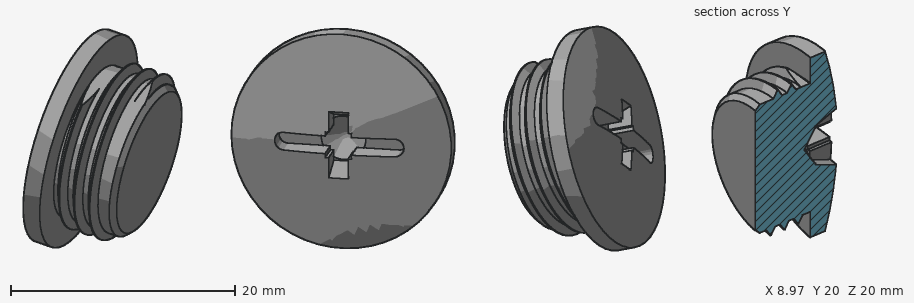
import cadquery as cq
import math


head_diameter = 20.03
rim_thickness = 1.65
dome_height = 1.35
apex_x = -(rim_thickness + dome_height)

shank_diameter = 14.33
shank_length = 6.0
end_chamfer = 0.5

thread_diameter = 15.87
pitch = 1.5
turns = 3
thread_start_x = 0.54
crest_width = 0.1
root_width = 0.98
root_overlap = 0.15
runout_length = 2.75

recess_depth = 2.4
floor_x = apex_x + recess_depth
straight_slot_length = 11.75
straight_slot_width = 1.65
cross_slot_width = 1.78
cross_slot_top_length = 6.3
cross_slot_floor_length = 4.3
square_side = 2.4
point_diameter = 4.06
point_angle = 118.0

head_radius = head_diameter / 2
shank_radius = shank_diameter / 2
thread_radius = thread_diameter / 2


def make_plug_blank():
    """Domed head and chamfered shank as one turned body."""
    dome_radius = (head_radius**2 + dome_height**2) / (2 * dome_height)
    mid_radius = head_radius / 2
    mid_x = apex_x + dome_radius - math.sqrt(dome_radius**2 - mid_radius**2)
    return (
        cq.Workplane("XY")
        .moveTo(apex_x, 0)
        .threePointArc((mid_x, mid_radius), (-rim_thickness, head_radius))
        .lineTo(0, head_radius)
        .lineTo(0, shank_radius)
        .lineTo(shank_length - end_chamfer, shank_radius)
        .lineTo(shank_length, shank_radius - end_chamfer)
        .lineTo(shank_length, 0)
        .close()
        .revolve(360, (0, 0, 0), (1, 0, 0))
    )


def make_runout_cutter(x_from, side):
    """Wedge that slopes the thread end down to the shank surface on the given Y side of the top."""
    full_depth_z = math.sqrt(thread_radius**2 - runout_length**2)
    clear_z = thread_radius + pitch
    return (
        cq.Workplane("YZ", origin=(x_from, 0, 0))
        .moveTo(0, shank_radius)
        .lineTo(side * runout_length, full_depth_z)
        .lineTo(side * runout_length, clear_z)
        .lineTo(0, clear_z)
        .close()
        .extrude(pitch)
    )


def make_thread():
    """Right-hand ridge that starts and ends at the top (+Z) of the shank."""
    inner_radius = shank_radius - root_overlap
    flank_slope = (root_width - crest_width) / (thread_radius - shank_radius)
    inner_width = root_width + flank_slope * root_overlap
    helix = cq.Wire.makeHelix(pitch, pitch * turns, shank_radius)
    ridge = (
        cq.Workplane("XZ")
        .moveTo(inner_radius, -inner_width / 2)
        .lineTo(thread_radius, -crest_width / 2)
        .lineTo(thread_radius, crest_width / 2)
        .lineTo(inner_radius, inner_width / 2)
        .close()
        .sweep(cq.Workplane(helix), isFrenet=True)
    )
    ridge = ridge.rotate((0, 0, 0), (1, 0, 1), 180).translate((thread_start_x, 0, 0))
    thread_end_x = thread_start_x + pitch * turns
    ridge = ridge.cut(make_runout_cutter(thread_start_x - pitch / 2, -1))
    return ridge.cut(make_runout_cutter(thread_end_x - pitch / 2, 1))


def make_recess():
    """Slot along Y, tapered slot along Z, central square and a conical drill point."""
    entry = cq.Workplane("YZ", origin=(apex_x, 0, 0))
    straight_slot = entry.slot2D(straight_slot_length, straight_slot_width).extrude(recess_depth)
    square = entry.rect(square_side, square_side).extrude(recess_depth)
    cross_slot = (
        cq.Workplane("XZ")
        .moveTo(apex_x, -cross_slot_top_length / 2)
        .lineTo(apex_x, cross_slot_top_length / 2)
        .lineTo(floor_x, cross_slot_floor_length / 2)
        .lineTo(floor_x, -cross_slot_floor_length / 2)
        .close()
        .extrude(cross_slot_width / 2, both=True)
    )
    point_radius = point_diameter / 2
    point_depth = point_radius / math.tan(math.radians(point_angle / 2))
    drill_point = cq.Workplane(
        cq.Solid.makeCone(point_radius, 0, point_depth, cq.Vector(floor_x, 0, 0), cq.Vector(1, 0, 0))
    )
    return straight_slot.union(square).union(cross_slot).union(drill_point)


result = make_plug_blank().union(make_thread()).cut(make_recess())